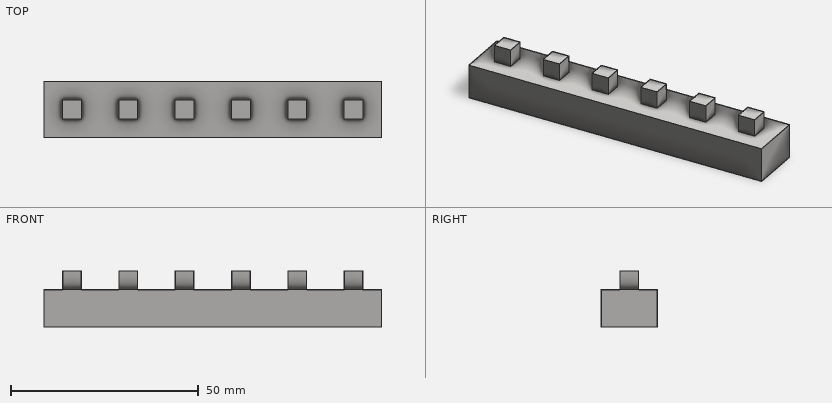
import cadquery as cq

peg_count = 6
peg_size = 5.0
pitch = 15.0
bar_height = 10.0

bar_length = peg_count * pitch
bar_width = 15.0


def make_bar():
    """Plain rectangular bar, centred in X and Y, standing on Z = 0."""
    return cq.Workplane("XY").box(bar_length, bar_width, bar_height, centered=(True, True, False))


def add_pegs(bar):
    """Row of cube pegs along the centre line of the top face."""
    return (
        bar.faces(">Z")
        .workplane()
        .rarray(pitch, bar_width, peg_count, 1)
        .rect(peg_size, peg_size)
        .extrude(peg_size)
    )


result = add_pegs(make_bar())